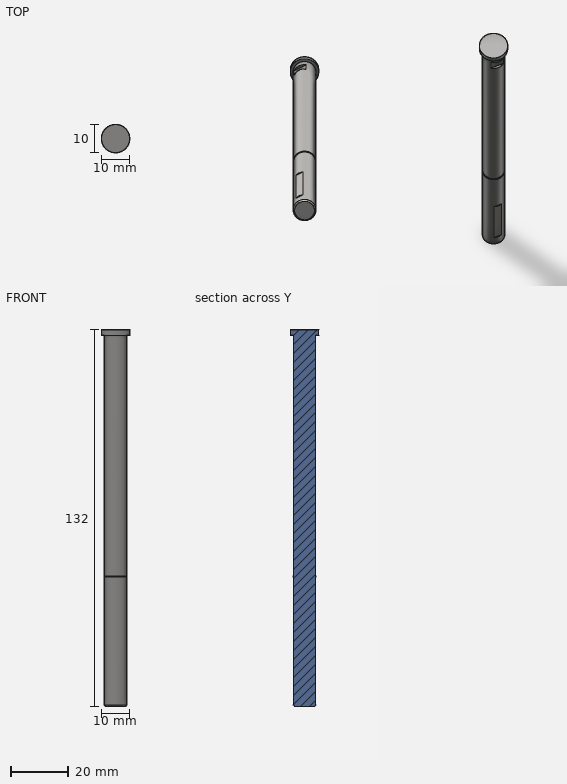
import cadquery as cq

total_length = 132.0
head_diameter = 10.0
head_height = 2.0
shank_diameter = 8.0

tip_chamfer = 0.5

groove_diameter = 7.8
groove_width = 0.5
groove_bottom = 45.3

notch_depth = 0.8
notch_height = 4.0
notch_bottom = 123.0

relief_depth = 0.25
relief_height = 21.5
relief_bottom = 5.0


def pin_body():
    head_radius = head_diameter / 2
    shank_radius = shank_diameter / 2
    tip_radius = shank_radius - tip_chamfer
    groove_radius = groove_diameter / 2
    groove_top = groove_bottom + groove_width
    head_bottom = total_length - head_height
    return (
        cq.Workplane("XZ")
        .moveTo(0, 0)
        .lineTo(-tip_radius, 0)
        .lineTo(-shank_radius, tip_chamfer)
        .lineTo(-shank_radius, groove_bottom)
        .lineTo(-groove_radius, groove_bottom)
        .lineTo(-groove_radius, groove_top)
        .lineTo(-shank_radius, groove_top)
        .lineTo(-shank_radius, head_bottom)
        .lineTo(-head_radius, head_bottom)
        .lineTo(-head_radius, total_length)
        .lineTo(0, total_length)
        .close()
        .revolve(360, (0, 0, 0), (0, 1, 0))
    )


def side_cutter(depth, height, bottom):
    """Block that removes `depth` from the +Y side of the shank."""
    return (
        cq.Workplane("XY")
        .box(shank_diameter, shank_diameter, height, centered=(True, False, False))
        .translate((0, shank_diameter / 2 - depth, bottom))
    )


result = pin_body()
result = result.cut(side_cutter(notch_depth, notch_height, notch_bottom))
result = result.cut(side_cutter(relief_depth, relief_height, relief_bottom))